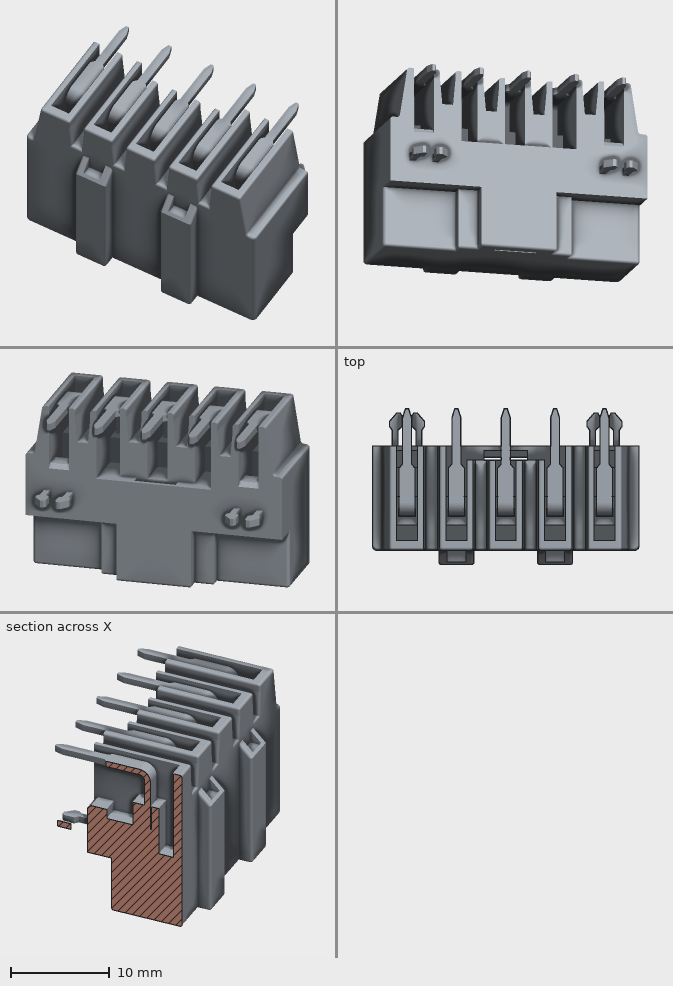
import cadquery as cq


pole_count = 5
pitch = 5.0
pole_places = [(i - (pole_count - 1) / 2) * pitch for i in range(pole_count)]
end_poles = (pole_places[0], pole_places[-1])

half_length = 13.5
depth = 10.58
height = 18.1
shoulder_height = 12.85
end_foot = 12.55
end_top = 11.72
edge_round = 0.27
side_round = 0.5
shoulder_round = 0.32

gap_floor = 14.53
gap_bend = 17.17
gap_half_bottom = 0.57
gap_half_top = 0.8

cavity_half = 1.05
cavity_front = 1.0
cavity_well_end = 2.56
cavity_step = 5.48
well_floor = 8.1
front_floor = 13.5
rear_floor = 10.8
end_block_front = 8.37
end_block_height = 11.88
end_block_chamfer = 0.45

relief_half = pitch - cavity_half
relief_front = 9.15
latch_half = 2.2
latch_back = 10.12
latch_ledge = 9.42

corner_height = 6.15
corner_front = 7.88
corner_step = 9.07
corner_step_half = 5.95
corner_round = 0.35

rib_places = (-pitch, pitch)
rib_half = 1.78
rib_depth = 1.43
rib_top = 13.95
rib_round = 0.3
rib_pocket_half = 0.97
rib_pocket_depth = 1.15
rib_pocket_floor = 12.55

pin_top = 17.63
pin_thickness = 0.7
pin_half = 0.45
pin_wide_half = 0.8
pin_tip_half = 0.15
pin_front = 3.5
pin_bend = 1.27
pin_neck_start = 8.35
pin_neck_end = 8.75
pin_taper_start = 13.45
pin_tip = 14.36
pin_hole_half = 0.86
pin_hole_front = 3.45

clip_bottom = 8.4
clip_thickness = 0.73
clip_root = 9.72
clip_tip = 13.93
prong_inner = 0.9
prong_outer = 1.5
barb_inner = 0.49
barb_outer = 1.78
barb_start = 12.18
barb_wide_start = 12.55
barb_wide_end = 13.07
barb_tip_inner = 0.7
barb_tip_outer = 1.03
barb_tip_start = 13.6


def box(x0, x1, y0, y1, z0, z1):
    return cq.Workplane("XY").box(x1 - x0, y1 - y0, z1 - z0, centered=False).translate((x0, y0, z0))


def mirrored(half_outline):
    """Close an outline by repeating it on the -X side."""
    return half_outline + [(-x, y) for x, y in reversed(half_outline)]


def make_towers():
    """Housing block with sloped ends, gaps between the towers and rounded end and top edges."""
    outline = mirrored([
        (half_length, 0),
        (half_length, shoulder_height),
        (end_foot, shoulder_height),
        (end_top, height),
    ])
    body = cq.Workplane("XZ").polyline(outline).close().extrude(-depth)
    gap_outline = mirrored([
        (gap_half_bottom, gap_floor),
        (gap_half_top, gap_bend),
        (gap_half_top, height),
    ])
    gap = cq.Workplane("XZ").polyline(gap_outline).close().extrude(-depth)
    for place in pole_places[:-1]:
        body = body.cut(gap.translate((place + pitch / 2, 0, 0)))

    body = body.faces("<Y").edges("<X or >X").fillet(side_round)
    for side in (-1, 1):
        foot = cq.selectors.NearestToPointSelector((side * end_foot, depth / 2, shoulder_height))
        body = body.edges(foot).fillet(shoulder_round)
    body = body.faces(">Z").edges("|Y").fillet(edge_round)
    for side in (-1, 1):
        ridge = cq.selectors.NearestToPointSelector((side * half_length, depth / 2, shoulder_height))
        body = body.edges(ridge).fillet(edge_round)
    return body


def cut_corners(body):
    """Step back the lower rear corners on both ends and round their outer edges."""
    for side in (-1, 1):
        for inner, front in ((relief_half, corner_step), (corner_step_half, corner_front)):
            x0, x1 = sorted((side * inner, side * half_length))
            body = body.cut(box(x0, x1, front, depth, 0, corner_height))
        outer_edge = cq.selectors.NearestToPointSelector((side * half_length, corner_front, corner_height / 2))
        body = body.edges(outer_edge).fillet(corner_round)
    return body


def make_rib():
    """Vertical coding rib with a sloped top."""
    side = [
        (0, 0),
        (-rib_depth, 0),
        (-rib_depth, rib_top - rib_depth),
        (0, rib_top),
    ]
    rib = cq.Workplane("YZ").polyline(side).close().extrude(rib_half, both=True)
    front = rib.faces("<Y").edges("|Z")
    slope = rib.faces(">Z").edges("not |X")
    return rib.newObject(front.vals() + slope.vals()).fillet(rib_round)


def make_rib_pocket():
    return box(-rib_pocket_half, rib_pocket_half, -rib_pocket_depth, 0, rib_pocket_floor, rib_top)


def make_cavity(rear_end):
    """Space inside one tower: front well, raised step with a hole for the pin, and rear floor."""
    well = box(-cavity_half, cavity_half, cavity_front, cavity_well_end, well_floor, height)
    step = box(-cavity_half, cavity_half, cavity_well_end, cavity_step, front_floor, height)
    rear = box(-cavity_half, cavity_half, cavity_step, rear_end, rear_floor, height)
    hole = box(-pin_hole_half, pin_hole_half, pin_hole_front, pin_front + pin_thickness, rear_floor, height)
    return well.union(step).union(rear).union(hole)


def make_end_block():
    """Raised block with a chamfered rear edge, at the back of an end cavity."""
    block = box(-cavity_half, cavity_half, end_block_front, depth, rear_floor, end_block_height)
    return block.faces(">Y").edges(">Z").chamfer(end_block_chamfer)


def make_pin():
    """Flat contact: wide tail with a narrow pointed pin, bent down into the housing."""
    inner_bend = pin_bend - pin_thickness
    side = (
        cq.Workplane("YZ")
        .moveTo(pin_tip, pin_top)
        .lineTo(pin_front + pin_bend, pin_top)
        .radiusArc((pin_front, pin_top - pin_bend), -pin_bend)
        .lineTo(pin_front, rear_floor)
        .lineTo(pin_front + pin_thickness, rear_floor)
        .lineTo(pin_front + pin_thickness, pin_top - pin_bend)
        .radiusArc((pin_front + pin_bend, pin_top - pin_thickness), inner_bend)
        .lineTo(pin_tip, pin_top - pin_thickness)
        .close()
        .extrude(pin_wide_half, both=True)
    )
    plan = mirrored([
        (pin_wide_half, pin_front),
        (pin_wide_half, pin_neck_start),
        (pin_half, pin_neck_end),
        (pin_half, pin_taper_start),
        (pin_tip_half, pin_tip),
    ])
    return side.intersect(cq.Workplane("XY").polyline(plan).close().extrude(height))


def make_clip():
    """Pair of barbed prongs standing out of the rear face."""
    prong_outline = [
        (prong_inner, clip_root),
        (prong_outer, clip_root),
        (prong_outer, barb_start),
        (barb_outer, barb_wide_start),
        (barb_outer, barb_wide_end),
        (barb_tip_outer, clip_tip),
        (barb_tip_inner, clip_tip),
        (barb_inner, barb_tip_start),
        (barb_inner, barb_wide_start),
        (prong_inner, barb_start),
    ]
    prong = cq.Workplane("XY", origin=(0, 0, clip_bottom)).polyline(prong_outline).close()
    prong = prong.extrude(clip_thickness)
    return prong.union(prong.mirror("YZ"))


body = cut_corners(make_towers())
body = body.faces("<Y").edges("not <Z").fillet(edge_round)
for place in rib_places:
    body = body.union(make_rib().translate((place, 0, 0)))
body = body.faces("<Z").edges().fillet(edge_round)
for place in rib_places:
    body = body.cut(make_rib_pocket().translate((place, 0, 0)))

body = body.cut(box(-relief_half, relief_half, relief_front, depth, rear_floor, height))
body = body.cut(box(-latch_half, latch_half, relief_front, latch_back, corner_height, rear_floor))
body = body.cut(box(-latch_half, latch_half, relief_front, latch_ledge, 0, corner_height))

for place in pole_places:
    rear_end = relief_front if place == 0 else depth
    body = body.cut(make_cavity(rear_end).translate((place, 0, 0)))
    body = body.union(make_pin().translate((place, 0, 0)))
for place in end_poles:
    body = body.union(make_end_block().translate((place, 0, 0)))
    body = body.union(make_clip().translate((place, 0, 0)))

result = body